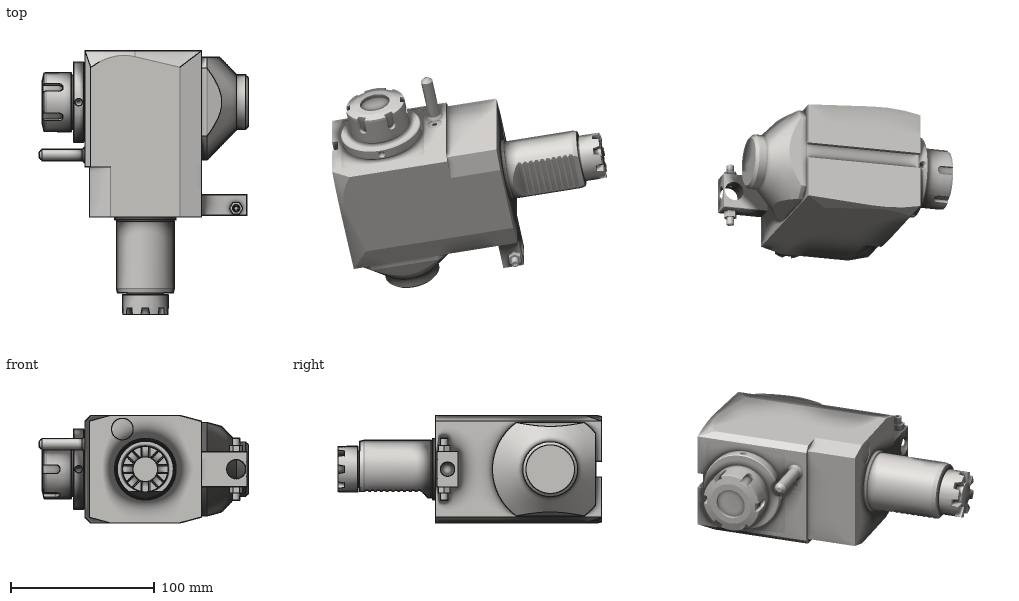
import cadquery as cq
import math


clearance = 1.8

body_left = -42.1
body_right = 39.2
overall_length = 184.0
body_length = 116.0
half_height = 37.5
side_half_height = 33.5
left_chamfer = half_height - side_half_height
right_slope_run = 15.0
step_length = 35.0
step_left = -39.0
step_slope_run = 14.7
back_draft = 15.0
back_arc_end = (-7.4, 36.5)
draft_length = 22.0
back_slot_width = 10.9
back_slot_depth = 4.0
mark_radius = 7.5
mark_center = (-16.0, 28.0)
shallow_depth = 0.4

spindle_y = 80.0
panel_width = 58.3
panel_height = 63.0
panel_corner = 4.5
ring_front = -50.2
ring_back = -42.7
ring_radius = 28.2
edge_chamfer = 0.5
ring_neck_radius = 26.7
ring_hole_count = 4
ring_hole_radius = 2.5
ring_hole_depth = 4.8
nut_face = -72.0
nut_shoulder = -70.7
nut_bevel_end = -69.2
nut_back = -51.3
nut_radius = 20.8
nut_shoulder_radius = 20.6
nut_face_radius = 14.9
nut_neck_radius = 19.0
nut_bore_radius = 10.5
nut_bore_depth = 2.5
nut_slot_count = 6
nut_slot_width = 6.0
nut_slot_floor = 17.8
nut_slot_end = -59.5
nut_upper_slot_end = -57.5

pin_y = 43.2
pin_z = 17.5
pin_tip = -74.2
pin_radius = 4.0
pin_chamfer = 2.2
pin_collar_radius = 5.7
pin_collar_length = 1.8
pin_hole_radius = 1.3
pin_hole_depth = shallow_depth
plug_z = 7.7
plug_radius = 5.2
plug_hole_radius = 1.8
plug_hole_depth = 1.8

cone_flange_end = 43.0
cone_radius = 40.3
cone_neck_start = 63.7
cone_neck_radius = 19.1
cone_end = 72.0
cone_end_chamfer = 2.2
cone_half_height = 32.5
cone_back_y = 111.5

bracket_right = 70.8
bracket_front = 1.1
bracket_back = 15.8
bracket_half_height = 12.3
bracket_edge = 0.4
bracket_hole_x = 63.3
bracket_hole_radius = 6.6
bracket_end_hole_radius = 5.0
screw_y = 6.0
screw_radius = 2.5
screw_end = 21.9
screw_chamfer = 0.4
screw_hole_radius = 1.3
screw_hole_end = 7.7
screw_socket_size = 3.0
screw_socket_depth = 1.5
lock_nut_size = 9.2
lock_nut_top = 16.5

flange_radius = 21.5
flange_length = 2.2
flange_chamfer = 0.5
shank_start = 3.1
shank_radius = 20.2
relief_radius = 19.9
shank_end = 52.8
shank_taper_length = 3.0
shank_end_radius = 19.5
rack_flat_z = -15.6
rack_start = 4.8
rack_count = 10
rack_first = 11.5
rack_pitch = 4.0
rack_depth = 1.0
rack_floor_width = 1.7
rack_mouth_width = 3.1

coupling_neck_radius = 12.7
coupling_start = 54.0
coupling_end = overall_length - body_length
coupling_radius = 16.0
coupling_chamfer = 0.4
core_radius = 8.6
drive_slot_count = 8
drive_slot_depth = 4.6
drive_slot_mouth = 6.3
drive_slot_floor = 4.5


def x_cylinder(radius, x_start, x_end, y, z):
    """Cylinder along X."""
    return cq.Workplane("YZ", origin=(x_start, y, z)).circle(radius).extrude(x_end - x_start)


def y_cylinder(radius, y_start, y_end, x=0, z=0):
    """Cylinder along Y."""
    return cq.Workplane("XZ", origin=(x, y_start, z)).circle(radius).extrude(y_start - y_end)


def revolve_about_x(profile, y, z):
    """Turn a closed outline of (x, radius) points about a line along X."""
    outline = cq.Workplane("XY", origin=(0, y, z)).polyline(profile).close()
    return outline.revolve(360, (0, 0, 0), (1, 0, 0))


def box(x_range, y_range, z_range):
    """Box between the given limits."""
    low, high = zip(x_range, y_range, z_range)
    size = [end - start for start, end in zip(low, high)]
    return cq.Workplane("XY", origin=low).box(*size, centered=False)


def body_section(left, left_run, y_start, y_end):
    """Prism along Y: flat top and bottom, sloped towards both sides."""
    upper = [
        (left, side_half_height),
        (left + left_run, half_height),
        (body_right - right_slope_run, half_height),
        (body_right, side_half_height),
    ]
    lower = [(x, -z) for x, z in reversed(upper)]
    plane = cq.Workplane("XZ", origin=(0, y_end, 0))
    return plane.polyline(upper + lower).close().extrude(y_end - y_start)


def back_envelope():
    """Drafted solid that narrows the body towards its crowned back face."""
    envelope = (
        cq.Workplane("XZ", origin=(0, body_length, 0))
        .moveTo(body_right, -2 * half_height)
        .lineTo(body_right, side_half_height)
        .lineTo(*back_arc_end)
        .tangentArcPoint((body_left, side_half_height), relative=False)
        .lineTo(body_left, -2 * half_height)
        .close()
        .extrude(draft_length, taper=-back_draft)
    )
    return envelope.intersect(envelope.mirror("XY"))


def make_body():
    rear = body_section(body_left, left_chamfer, step_length, body_length)
    front = body_section(step_left, step_slope_run, 0, step_length)
    drafted_zone = box(
        (body_left - clearance, body_right + clearance),
        (body_length - draft_length, body_length + clearance),
        (-half_height - clearance, half_height + clearance),
    )
    back = rear.intersect(drafted_zone).intersect(back_envelope())
    body = front.union(rear.cut(drafted_zone)).union(back)
    back_slot = box(
        (body_left - clearance, body_right + clearance),
        (body_length - back_slot_depth, body_length + clearance),
        (-back_slot_width / 2, back_slot_width / 2),
    )
    panel = (
        cq.Workplane("YZ", origin=(body_left, spindle_y, 0))
        .rect(panel_width, panel_height)
        .extrude(shallow_depth)
        .edges("|X")
        .fillet(panel_corner)
    )
    mark = y_cylinder(mark_radius, shallow_depth, 0, *mark_center)
    return body.cut(back_slot).cut(panel).cut(mark)


def make_ring():
    ring = x_cylinder(ring_radius, ring_front, ring_back, spindle_y, 0)
    ring = ring.edges().chamfer(edge_chamfer)
    hole_x = (ring_front + ring_back) / 2
    hole = cq.Workplane("XY").add(
        cq.Solid.makeCone(
            0,
            ring_hole_radius,
            ring_hole_depth,
            pnt=cq.Vector(hole_x, spindle_y, ring_radius - ring_hole_depth),
        )
    )
    for index in range(ring_hole_count):
        angle = index * 360 / ring_hole_count
        ring = ring.cut(hole.rotate((0, spindle_y, 0), (1, spindle_y, 0), angle))
    neck = x_cylinder(ring_neck_radius, ring_back, body_left + 2 * shallow_depth, spindle_y, 0)
    return ring.union(neck)


def make_nut_slot(slot_end):
    """Cutter for one round-ended wrench slot on the -Y side of the nut."""
    half_width = nut_slot_width / 2
    round_center = slot_end - half_width
    return (
        cq.Workplane("XZ", origin=(0, spindle_y - nut_slot_floor, 0))
        .moveTo(nut_face - clearance, half_width)
        .lineTo(round_center, half_width)
        .threePointArc((slot_end, 0), (round_center, -half_width))
        .lineTo(nut_face - clearance, -half_width)
        .close()
        .extrude(nut_radius)
    )


def make_nut():
    nut = revolve_about_x(
        [
            (nut_face, 0),
            (nut_face, nut_face_radius),
            (nut_shoulder, nut_shoulder_radius),
            (nut_bevel_end, nut_radius),
            (nut_back - edge_chamfer, nut_radius),
            (nut_back, nut_radius - edge_chamfer),
            (nut_back, 0),
        ],
        spindle_y,
        0,
    )
    nut = nut.cut(x_cylinder(nut_bore_radius, nut_face, nut_face + nut_bore_depth, spindle_y, 0))
    for index in range(nut_slot_count):
        angle = index * 360 / nut_slot_count
        upper = 180 < angle < 360
        slot = make_nut_slot(nut_upper_slot_end if upper else nut_slot_end)
        nut = nut.cut(slot.rotate((0, spindle_y, 0), (1, spindle_y, 0), angle))
    neck = x_cylinder(nut_neck_radius, nut_back, ring_front, spindle_y, 0)
    return nut.union(neck)


def make_pin():
    collar_start = body_left - pin_collar_length
    pin = revolve_about_x(
        [
            (pin_tip, 0),
            (pin_tip, pin_radius - pin_chamfer),
            (pin_tip + pin_chamfer, pin_radius),
            (collar_start, pin_radius),
            (body_left, pin_collar_radius),
            (body_left, 0),
        ],
        pin_y,
        pin_z,
    )
    return pin.cut(x_cylinder(pin_hole_radius, pin_tip, pin_tip + pin_hole_depth, pin_y, pin_z))


def make_plug_recess():
    rim = x_cylinder(plug_radius, body_left, body_left + shallow_depth, pin_y, plug_z)
    hole = x_cylinder(plug_hole_radius, body_left, body_left + plug_hole_depth, pin_y, plug_z)
    return rim.union(hole)


def make_cone():
    cone = revolve_about_x(
        [
            (body_right, 0),
            (body_right, cone_radius),
            (cone_flange_end, cone_radius),
            (cone_neck_start, cone_neck_radius),
            (cone_end - cone_end_chamfer, cone_neck_radius),
            (cone_end, cone_neck_radius - cone_end_chamfer),
            (cone_end, 0),
        ],
        spindle_y,
        0,
    )
    drop = (cone_end - cone_flange_end) * math.tan(math.radians(back_draft))
    upper = [
        (body_right, cone_half_height),
        (cone_flange_end, cone_half_height),
        (cone_end, cone_half_height - drop),
    ]
    lower = [(x, -z) for x, z in reversed(upper)]
    flats = (
        cq.Workplane("XZ", origin=(0, cone_back_y, 0))
        .polyline(upper + lower)
        .close()
        .extrude(2 * cone_radius)
    )
    return cone.intersect(flats)


def make_bracket():
    bracket = box(
        (body_right, bracket_right),
        (bracket_front, bracket_back),
        (-bracket_half_height, bracket_half_height),
    )
    bracket = bracket.edges("|X").chamfer(bracket_edge)
    bracket = bracket.cut(y_cylinder(bracket_hole_radius, bracket_back, bracket_front, bracket_hole_x))
    bracket_middle_y = (bracket_front + bracket_back) / 2
    bracket = bracket.cut(
        x_cylinder(bracket_end_hole_radius, bracket_hole_x, bracket_right, bracket_middle_y, 0)
    )
    screw_bores = (
        cq.Workplane("XY", origin=(bracket_hole_x, screw_y, 0))
        .circle(screw_hole_radius)
        .extrude(screw_hole_end, both=True)
    )
    bracket = bracket.cut(screw_bores)
    lock = cq.Workplane("XY", origin=(bracket_hole_x, screw_y, bracket_half_height))
    lock_nut = lock.polygon(6, lock_nut_size).extrude(lock_nut_top - bracket_half_height)
    screw = lock.circle(screw_radius).extrude(screw_end - bracket_half_height)
    screw = screw.faces(">Z").edges().chamfer(screw_chamfer)
    screw = screw.faces(">Z").workplane().polygon(6, screw_socket_size).cutBlind(-screw_socket_depth)
    upper_lock = lock_nut.union(screw)
    return bracket.union(upper_lock).union(upper_lock.mirror("XY"))


def make_shank():
    outline = [
        (0, 0),
        (flange_radius, 0),
        (flange_radius, flange_chamfer - flange_length),
        (flange_radius - flange_chamfer, -flange_length),
        (relief_radius, -flange_length),
        (shank_radius, -shank_start),
        (shank_radius, shank_taper_length - shank_end),
        (shank_end_radius, -shank_end),
        (0, -shank_end),
    ]
    shank = cq.Workplane("XY").polyline(outline).close().revolve(360, (0, 0, 0), (0, 1, 0))

    ramp = shank_radius + rack_flat_z
    flat = (
        cq.Workplane("YZ")
        .polyline(
            [
                (-rack_start, -shank_radius),
                (-rack_start - ramp, rack_flat_z),
                (-shank_end, rack_flat_z),
                (-shank_end, -shank_radius),
            ]
        )
        .close()
        .extrude(shank_radius, both=True)
    )
    shank = shank.cut(flat)
    for index in range(rack_count):
        y = -rack_first - index * rack_pitch
        groove = (
            cq.Workplane("YZ", origin=(0, y, rack_flat_z))
            .polyline(
                [
                    (-rack_mouth_width / 2, 0),
                    (-rack_floor_width / 2, rack_depth),
                    (rack_floor_width / 2, rack_depth),
                    (rack_mouth_width / 2, 0),
                ]
            )
            .close()
            .extrude(shank_radius, both=True)
        )
        shank = shank.cut(groove)
    return shank


def make_coupling():
    neck = y_cylinder(coupling_neck_radius, -shank_end, -coupling_start)
    drum = y_cylinder(coupling_radius, -coupling_start, -coupling_end)
    drum = drum.faces(">Y").edges().chamfer(coupling_chamfer)
    slot = (
        cq.Workplane("XY")
        .polyline(
            [
                (-drive_slot_mouth / 2, -coupling_end),
                (-drive_slot_floor / 2, drive_slot_depth - coupling_end),
                (drive_slot_floor / 2, drive_slot_depth - coupling_end),
                (drive_slot_mouth / 2, -coupling_end),
            ]
        )
        .close()
        .extrude(coupling_radius)
    )
    for index in range(drive_slot_count):
        drum = drum.cut(slot.rotate((0, 0, 0), (0, 1, 0), index * 360 / drive_slot_count))
    core = y_cylinder(core_radius, -coupling_start, -coupling_end)
    return neck.union(drum).union(core)


result = make_body().cut(make_plug_recess())
for piece in (
    make_ring(),
    make_nut(),
    make_pin(),
    make_cone(),
    make_bracket(),
    make_shank(),
    make_coupling(),
):
    result = result.union(piece)